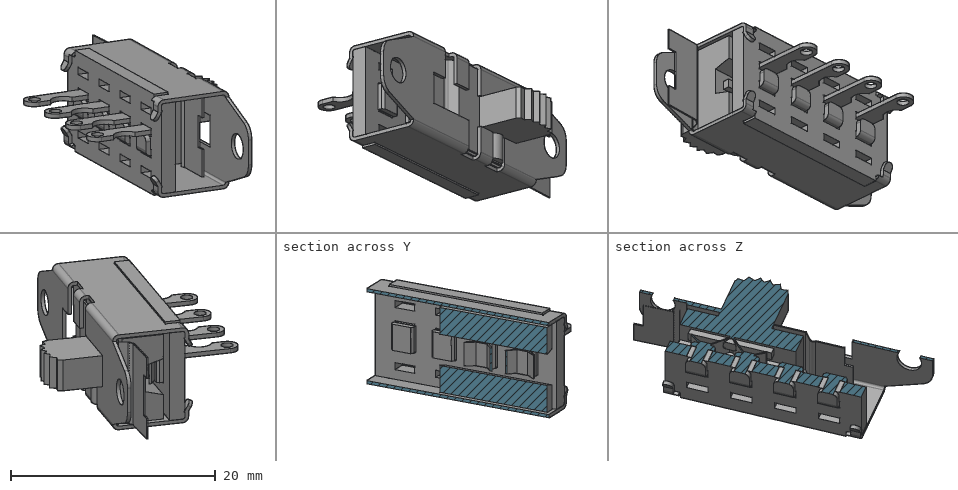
import cadquery as cq
import math

TOTAL_LENGTH = 30.23
TOTAL_DEPTH = 19.07
TOTAL_HEIGHT = 10.31
OVERLAP = 0.05

SHEET = 0.38
BEND_OUTER = 0.64
BEND_INNER = BEND_OUTER - SHEET
BODY_LENGTH = 20.32
BODY_HALF = BODY_LENGTH / 2
CHANNEL_HALF_Z = 4.97
CHANNEL_INSIDE_Z = CHANNEL_HALF_Z - SHEET
EAR_END_X = TOTAL_LENGTH / 2
EAR_ROOT_HALF_Z = 4.33
EAR_CORNER_HALF_Z = 2.35
EAR_CORNER_RADIUS = 1.6
EAR_HOLE_DIAMETER = 2.54
EAR_HOLE_X = 12.7
KNOB_WINDOW_HALF_X = 6.79

BASE_INNER_Y = -5.84
BASE_OUTER_Y = -7.39
BASE_END_CLEARANCE = 0.04
BASE_HALF_X = BODY_HALF - BASE_END_CLEARANCE
BASE_STEP_HALF_X = 8.53
NOTCH_HALF_X = 8.63

LUG_WIDTH = 1.02
LUG_BEND_Y = BASE_OUTER_Y + BEND_INNER
LUG_STRAIGHT_END_Z = 3.7
LUG_TIP_LENGTH = 1.07
LUG_TIP_ANGLE = 30
LUG_STUB_ANGLE = 25

DETENT_PITCH = 3.95
DETENT_WIDTH = 1.93
DETENT_DEPTH = 0.96

SLIDER_X = -DETENT_PITCH
SLIDER_LENGTH = 12.0
SLIDER_TOP_Y = -1.02
SLIDER_BOTTOM_Y = -5.23
SLIDER_HALF_Z = 4.43
GROOVE_FLOOR_Y = -3.42
GROOVE_FLOOR_HALF_Z = 1.37
GROOVE_MOUTH_HALF_Z = 1.88
KNOB_X = -4.01
KNOB_HALF_X = 2.78
KNOB_HALF_Z = 1.62
KNOB_TOP_Y = 5.3
KNOB_SHOULDER_Y = 4.05
KNOB_TEETH = [
    (2.57, 4.53),
    (1.93, 4.45),
    (1.62, 5.08),
    (0.93, 4.8),
    (0.5, KNOB_TOP_Y),
]
KNOB_MIDDLE_Y = 4.87

SPRING_THICKNESS = 0.2
SPRING_TOP_Y = -SHEET
SPRING_BOTTOM_Y = SPRING_TOP_Y - SPRING_THICKNESS
SPRING_LOW_Y = -1.25
SPRING_VALLEY_Y = -1.4
SPRING_SLOPE_START_X = 2.1
SPRING_SLOPE_END_X = 2.8
SPRING_VALLEY_X = 3.05
SPRING_VALLEY_END_X = 3.4
SPRING_END_X = 7.25
SPRING_FORK_X = 6.37
FLAP_HALF_Z = 4.26
FLAP_NOTCH_HALF_Z = 2.1
FLAP_NOTCH_X = -14.16
FLAP_KNEE = (-10.57, -1.45)
FLAP_HEEL = (-11.07, -1.8)
FLAP_END_Y = -1.95
FLAP_THICKNESS = 0.15
BUMP_TOP_Y = 0.29

TERMINAL_PITCH = 4.53
TERMINAL_COUNT = 4
TERMINAL_XS = [(i - (TERMINAL_COUNT - 1) / 2) * TERMINAL_PITCH for i in range(TERMINAL_COUNT)]
BASE_WINDOW_WIDTH = 2.2
LEG_WINDOW_Z = 1.08
LEG_WINDOW_HEIGHT = 0.84
SMALL_WINDOW_HEIGHT = 0.73
SMALL_WINDOW_Z = 3.23
LEG_HALF_WIDTH = 1.02
LEG_TIP_Y = KNOB_TOP_Y - TOTAL_DEPTH
LEG_TOP_Z = 1.32
LEG_THICKNESS = 0.46
LEG_HOLE_DIAMETER = 1.17
LEG_ROUND_Y = LEG_TIP_Y + LEG_HALF_WIDTH
LEG_HOLE_OFFSET = 0.05
LEG_HOLE_Y = LEG_ROUND_Y + LEG_HOLE_OFFSET
SCALLOP_START_Y = -9.1
SCALLOP_END_Y = -11.46
SCALLOP_DEPTH = 0.75
CLIP_OUTER_Y = -7.92
CLIP_TOP_Z = 0.68
CLIP_BOTTOM_Z = -1.3
CLIP_RADIUS = 0.52
CORE_TOP_Z = 1.36
HEAD_HALF_X = 1.25
HEAD_Y = -5.17
HEAD_CHAMFER = 0.25

CONTACT_X = (TERMINAL_XS[0] + TERMINAL_XS[1]) / 2
CONTACT_HALF_Z = 1.22
CONTACT_THICKNESS = 0.25
CONTACT_FOOT_Y = HEAD_Y
CONTACT_FOOT_HALF_X = 0.6
CONTACT_INNER_RUN = 1.5
CONTACT_OUTER_RUN = 1.0
CONTACT_END_Y = -4.25
CONTACT_HOLE_Y = GROOVE_FLOOR_Y - 0.1
CONTACT_HOLE_DIAMETER = 1.3
PEG_BOTTOM_Y = -4.1
PEG_HALF_Z = 0.45
PEG_LENGTH = 8.6


def block(x0, x1, y0, y1, z0, z1):
    """Box between two opposite corners."""
    return cq.Workplane("XY").box(x1 - x0, y1 - y0, z1 - z0, centered=False).translate((x0, y0, z0))


def along_x(profile, x0, x1):
    """Extrude a closed (Y, Z) polyline from x0 to x1."""
    return cq.Workplane("YZ").workplane(offset=x0).polyline(profile).close().extrude(x1 - x0)


def symmetric_in_z(wire, half_z):
    """Extrude a closed XY wire to both sides of Z = 0."""
    return wire.extrude(half_z, both=True)


def make_channel():
    wall_end_y = LUG_BEND_Y
    outer = block(-BODY_HALF, BODY_HALF, wall_end_y, 0, -CHANNEL_HALF_Z, CHANNEL_HALF_Z)
    outer = outer.edges("|X and >Y").fillet(BEND_OUTER)
    inner = block(
        -BODY_HALF, BODY_HALF, wall_end_y - SHEET, -SHEET, -CHANNEL_INSIDE_Z, CHANNEL_INSIDE_Z
    )
    inner = inner.edges("|X and >Y").fillet(BEND_INNER)
    step_notch = block(
        -NOTCH_HALF_X, NOTCH_HALF_X, wall_end_y, BASE_INNER_Y, -CHANNEL_HALF_Z, CHANNEL_HALF_Z
    )
    return outer.cut(inner).cut(step_notch)


def make_ear(side):
    outline = [
        (side * (BODY_HALF - OVERLAP), EAR_ROOT_HALF_Z),
        (side * BODY_HALF, EAR_ROOT_HALF_Z),
        (side * EAR_END_X, EAR_CORNER_HALF_Z),
        (side * EAR_END_X, -EAR_CORNER_HALF_Z),
        (side * BODY_HALF, -EAR_ROOT_HALF_Z),
        (side * (BODY_HALF - OVERLAP), -EAR_ROOT_HALF_Z),
    ]
    ear = cq.Workplane("XZ").polyline(outline).close().extrude(SHEET)
    ear = ear.edges("|Y").edges(">X" if side > 0 else "<X").fillet(EAR_CORNER_RADIUS)
    hole = cq.Workplane("XZ").center(side * EAR_HOLE_X, 0).circle(EAR_HOLE_DIAMETER / 2).extrude(SHEET)
    return ear.cut(hole)


def make_lug():
    """Crimp lug at the +X, +Z corner of the channel."""
    bend_z = CHANNEL_HALF_Z - BEND_OUTER
    lug_outer_y = LUG_BEND_Y - BEND_OUTER
    diagonal = math.sqrt(0.5)
    hook = (
        cq.Workplane("YZ")
        .workplane(offset=NOTCH_HALF_X)
        .moveTo(LUG_BEND_Y, CHANNEL_HALF_Z)
        .threePointArc(
            (LUG_BEND_Y - BEND_OUTER * diagonal, bend_z + BEND_OUTER * diagonal),
            (lug_outer_y, bend_z),
        )
        .lineTo(lug_outer_y, LUG_STRAIGHT_END_Z)
        .lineTo(lug_outer_y + SHEET, LUG_STRAIGHT_END_Z)
        .lineTo(lug_outer_y + SHEET, bend_z)
        .threePointArc(
            (LUG_BEND_Y - BEND_INNER * diagonal, bend_z + BEND_INNER * diagonal),
            (LUG_BEND_Y, CHANNEL_INSIDE_Z),
        )
        .close()
        .extrude(BODY_HALF - NOTCH_HALF_X)
    )
    lug_start_x = BODY_HALF - LUG_WIDTH
    stub_end_rise = BEND_OUTER * math.tan(math.radians(LUG_STUB_ANGLE))
    below_stub = [
        (LUG_BEND_Y, bend_z),
        (lug_outer_y, bend_z + stub_end_rise),
        (lug_outer_y, LUG_STRAIGHT_END_Z),
        (LUG_BEND_Y, LUG_STRAIGHT_END_Z),
    ]
    hook = hook.cut(along_x(below_stub, NOTCH_HALF_X, lug_start_x))

    lug_radius = LUG_WIDTH / 2
    straight = LUG_TIP_LENGTH - lug_radius
    tip = (
        cq.Workplane("XZ")
        .moveTo(-lug_radius, SHEET / 2)
        .lineTo(lug_radius, SHEET / 2)
        .lineTo(lug_radius, -straight)
        .threePointArc((0, -LUG_TIP_LENGTH), (-lug_radius, -straight))
        .close()
        .extrude(SHEET)
    )
    tip = tip.rotate((0, 0, 0), (1, 0, 0), -LUG_TIP_ANGLE)
    tip = tip.translate((BODY_HALF - lug_radius, lug_outer_y + SHEET, LUG_STRAIGHT_END_Z))
    return hook.union(tip)


def detent_opening(x, z_side):
    """Opening that runs from the knob window across the fold of the channel."""
    half = DETENT_WIDTH / 2
    z_near, z_far = sorted((0, z_side * CHANNEL_HALF_Z))
    return block(x - half, x + half, -DETENT_DEPTH, 0, z_near, z_far)


def make_bracket():
    bracket = make_channel().union(make_ear(1)).union(make_ear(-1))
    lug = make_lug()
    upper_lugs = lug.union(lug.mirror("YZ"))
    bracket = bracket.union(upper_lugs).union(upper_lugs.mirror("XY"))
    knob_window = block(
        -KNOB_WINDOW_HALF_X, KNOB_WINDOW_HALF_X, -SHEET, 0, -KNOB_HALF_Z, KNOB_HALF_Z
    )
    bracket = bracket.cut(knob_window)
    for x, z_side in ((0, 1), (0, -1), (DETENT_PITCH, 1), (-DETENT_PITCH, -1)):
        bracket = bracket.cut(detent_opening(x, z_side))
    return bracket


def make_base():
    base = block(
        -BASE_HALF_X, BASE_HALF_X, BASE_OUTER_Y, BASE_INNER_Y, -CHANNEL_INSIDE_Z, CHANNEL_INSIDE_Z
    )
    step = block(
        -BASE_STEP_HALF_X, BASE_STEP_HALF_X, BASE_OUTER_Y, BASE_INNER_Y, -TOTAL_HEIGHT / 2, TOTAL_HEIGHT / 2
    )
    base = base.union(step)
    windows = ((LEG_WINDOW_Z, LEG_WINDOW_HEIGHT), (SMALL_WINDOW_Z, SMALL_WINDOW_HEIGHT))
    half_x = BASE_WINDOW_WIDTH / 2
    for x in TERMINAL_XS:
        for z, height in windows:
            window = block(
                x - half_x, x + half_x, BASE_OUTER_Y, BASE_INNER_Y, z - height / 2, z + height / 2
            )
            base = base.cut(window).cut(window.mirror("XY"))
    return base


def make_terminal():
    """Solder terminal centred on X = 0."""
    scallop_middle_y = (SCALLOP_START_Y + SCALLOP_END_Y) / 2
    leg = (
        cq.Workplane("XY")
        .workplane(offset=LEG_TOP_Z - LEG_THICKNESS)
        .moveTo(-LEG_HALF_WIDTH, HEAD_Y)
        .lineTo(LEG_HALF_WIDTH, HEAD_Y)
        .lineTo(LEG_HALF_WIDTH, SCALLOP_START_Y)
        .threePointArc(
            (LEG_HALF_WIDTH - SCALLOP_DEPTH, scallop_middle_y), (LEG_HALF_WIDTH, SCALLOP_END_Y)
        )
        .lineTo(LEG_HALF_WIDTH, LEG_ROUND_Y)
        .threePointArc((0, LEG_TIP_Y), (-LEG_HALF_WIDTH, LEG_ROUND_Y))
        .close()
        .extrude(LEG_THICKNESS)
    )
    hole = cq.Workplane("XY").center(0, LEG_HOLE_Y).circle(LEG_HOLE_DIAMETER / 2).extrude(LEG_TOP_Z)
    clip = block(-LEG_HALF_WIDTH, LEG_HALF_WIDTH, CLIP_OUTER_Y, HEAD_Y, CLIP_BOTTOM_Z, CLIP_TOP_Z)
    clip = clip.edges("|X and <Y and <Z").fillet(CLIP_RADIUS)
    clip = clip.edges("|Y and >Z").fillet(CLIP_RADIUS)
    head = block(-HEAD_HALF_X, HEAD_HALF_X, BASE_INNER_Y, HEAD_Y, -CORE_TOP_Z, CORE_TOP_Z)
    head = head.edges("|Z and >Y").chamfer(HEAD_CHAMFER)
    return leg.cut(hole).union(clip).union(head)


def make_slider():
    half_x = SLIDER_LENGTH / 2
    profile = [
        (SLIDER_TOP_Y, SLIDER_HALF_Z),
        (SLIDER_BOTTOM_Y, SLIDER_HALF_Z),
        (SLIDER_BOTTOM_Y, GROOVE_MOUTH_HALF_Z),
        (GROOVE_FLOOR_Y, GROOVE_FLOOR_HALF_Z),
        (GROOVE_FLOOR_Y, -GROOVE_FLOOR_HALF_Z),
        (SLIDER_BOTTOM_Y, -GROOVE_MOUTH_HALF_Z),
        (SLIDER_BOTTOM_Y, -SLIDER_HALF_Z),
        (SLIDER_TOP_Y, -SLIDER_HALF_Z),
    ]
    return along_x(profile, SLIDER_X - half_x, SLIDER_X + half_x)


def make_knob():
    right = [(KNOB_HALF_X, SLIDER_TOP_Y - OVERLAP), (KNOB_HALF_X, KNOB_SHOULDER_Y)] + KNOB_TEETH
    left = [(-x, y) for x, y in reversed(right)]
    outline = right + [(0, KNOB_MIDDLE_Y)] + left
    knob = symmetric_in_z(cq.Workplane("XY").polyline(outline).close(), KNOB_HALF_Z)
    return knob.translate((KNOB_X, 0, 0))


def sheet_strip(top_line, thickness, half_z):
    """Sheet following a line in XY, with its thickness measured along -Y."""
    bottom_line = [(x, y - thickness) for x, y in reversed(top_line)]
    return symmetric_in_z(cq.Workplane("XY").polyline(top_line + bottom_line).close(), half_z)


def make_spring():
    low_underside_y = SPRING_LOW_Y - SPRING_THICKNESS
    leaf_outline = (
        cq.Workplane("XY")
        .moveTo(-BODY_HALF, SPRING_TOP_Y)
        .lineTo(SPRING_SLOPE_START_X, SPRING_TOP_Y)
        .lineTo(SPRING_SLOPE_END_X, SPRING_LOW_Y)
        .threePointArc((SPRING_VALLEY_X, SPRING_VALLEY_Y), (SPRING_VALLEY_END_X, SPRING_LOW_Y))
        .lineTo(SPRING_END_X, SPRING_LOW_Y)
        .lineTo(SPRING_END_X, low_underside_y)
        .lineTo(SPRING_VALLEY_END_X, low_underside_y)
        .threePointArc(
            (SPRING_VALLEY_X, SPRING_VALLEY_Y - SPRING_THICKNESS), (SPRING_SLOPE_END_X, low_underside_y)
        )
        .lineTo(SPRING_SLOPE_START_X, SPRING_BOTTOM_Y)
        .lineTo(-BODY_HALF, SPRING_BOTTOM_Y)
        .close()
    )
    leaf = symmetric_in_z(leaf_outline, SLIDER_HALF_Z)
    fork = block(
        SPRING_FORK_X, SPRING_END_X, low_underside_y, SPRING_LOW_Y, -KNOB_HALF_Z, KNOB_HALF_Z
    )
    flap = sheet_strip(
        [
            (-BODY_HALF + OVERLAP, SPRING_TOP_Y),
            (-BODY_HALF, SPRING_TOP_Y),
            FLAP_KNEE,
            FLAP_HEEL,
            (-EAR_END_X, FLAP_END_Y),
        ],
        FLAP_THICKNESS,
        FLAP_HALF_Z,
    )
    flap_notch = block(
        -EAR_END_X, FLAP_NOTCH_X, FLAP_END_Y - FLAP_THICKNESS, 0, -FLAP_NOTCH_HALF_Z, FLAP_NOTCH_HALF_Z
    )
    bump_half = DETENT_WIDTH / 2
    bump = (
        cq.Workplane("XY")
        .workplane(offset=-FLAP_HALF_Z)
        .moveTo(-DETENT_PITCH - bump_half, SPRING_BOTTOM_Y)
        .threePointArc((-DETENT_PITCH, BUMP_TOP_Y), (-DETENT_PITCH + bump_half, SPRING_BOTTOM_Y))
        .close()
        .extrude(FLAP_HALF_Z - KNOB_HALF_Z)
    )
    return leaf.cut(fork).union(flap.cut(flap_notch)).union(bump)


def make_contact():
    """Bridge that joins the two terminals under the slider."""
    foot_x = TERMINAL_PITCH / 2
    inner_x = foot_x - CONTACT_FOOT_HALF_X
    outer_x = foot_x + CONTACT_FOOT_HALF_X
    end_x = outer_x + CONTACT_OUTER_RUN
    foot_top_y = CONTACT_FOOT_Y + CONTACT_THICKNESS
    right = [
        (inner_x - CONTACT_INNER_RUN, GROOVE_FLOOR_Y),
        (inner_x, foot_top_y),
        (outer_x, foot_top_y),
        (end_x, CONTACT_END_Y),
    ]
    left = [(-x, y) for x, y in reversed(right)]
    bridge = sheet_strip(left + right, CONTACT_THICKNESS, CONTACT_HALF_Z)
    hole = (
        cq.Workplane("YZ")
        .workplane(offset=-end_x)
        .center(CONTACT_HOLE_Y, 0)
        .circle(CONTACT_HOLE_DIAMETER / 2)
        .extrude(2 * end_x)
    )
    peg = block(
        -PEG_LENGTH / 2, PEG_LENGTH / 2, PEG_BOTTOM_Y, GROOVE_FLOOR_Y + OVERLAP, -PEG_HALF_Z, PEG_HALF_Z
    )
    return bridge.cut(hole).union(peg).translate((CONTACT_X, 0, 0))


result = make_bracket().union(make_base()).union(make_slider()).union(make_knob())
result = result.union(make_spring()).union(make_contact())
terminal = make_terminal()
for terminal_x in TERMINAL_XS:
    result = result.union(terminal.translate((terminal_x, 0, 0)))